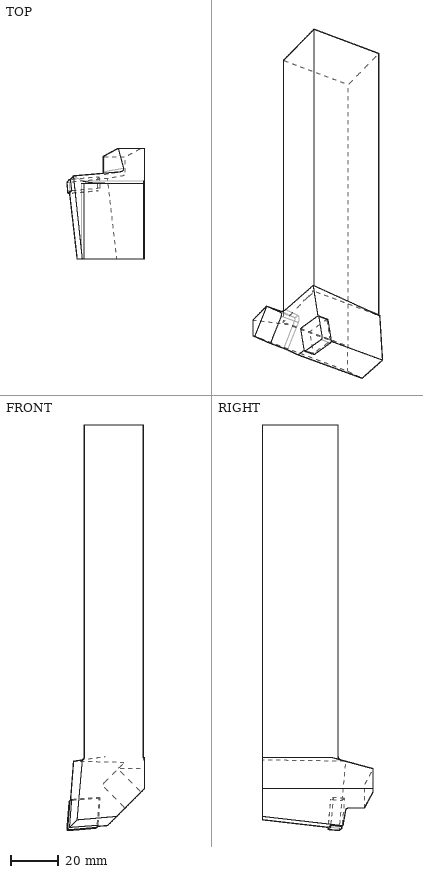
import cadquery as cq
import math

SHANK_X = 25.0
SHANK_Y = 32.0
TOTAL_LENGTH = 171.4
SHANK_START = 24.0

TOTAL_WIDTH = 32.9
HEAD_RIGHT = 25.5
HEAD_DEPTH = 46.8
HEAD_TOP = 30.8
SHOULDER_Z = 30.0
LEFT_FACE_X = -3.5
BOTTOM_FACE_Z = 4.8
EDGE_SLOPE = math.tan(math.radians(5))
CLEARANCE_SLOPE = math.tan(math.radians(6))
BACK_TOP_Z = 30.2
SHOULDER_SLOPE = math.tan(math.radians(8))
BACK_TOP_SLOPE = math.tan(math.radians(15))
BEVEL_OFFSET = 7.7
SHANK_FILLET = 1.4

INSERT_EDGE = 12.9
INSERT_ANGLE = 80
INSERT_THICKNESS = 4.8
INSERT_CORNER = 0.8

RAKE_SLOPE = math.tan(math.radians(5))
RAKE_NORMAL = (-RAKE_SLOPE, 1, -RAKE_SLOPE)
DIAGONAL = (1, 2 * RAKE_SLOPE, 1)
LEFT_LIMIT = HEAD_RIGHT - TOTAL_WIDTH
DIAGONAL_LENGTH = math.sqrt(2 + 4 * RAKE_SLOPE**2)
TIP_CENTER_SHIFT = INSERT_CORNER / math.sin(math.radians(INSERT_ANGLE / 2)) / DIAGONAL_LENGTH
CORNER_EXTENT = INSERT_CORNER * math.sqrt((1 + RAKE_SLOPE**2) / (1 + 2 * RAKE_SLOPE**2))
TIP_INSET = TIP_CENTER_SHIFT - CORNER_EXTENT
TIP_Y = 32.4
TIP = (LEFT_LIMIT - TIP_INSET, TIP_Y, -TIP_INSET)

BLOCK_FRONT = 26.7
BLOCK_UPPER = -11.8
BLOCK_CREST = 40.3
BLOCK_TOP_SLOPE = 0.27
BLOCK_EDGE_FILLET = 1.4
BLOCK_ROOT_FILLET = 1.4

REACH = 342.7


def trim(body, point, normal):
    """Remove everything on the normal side of a plane."""
    cutter = cq.Workplane(cq.Plane(point, normal=normal)).rect(REACH, REACH).extrude(REACH)
    return body.cut(cutter)


def make_head_blank():
    blank = cq.Workplane().box(2 * HEAD_RIGHT, HEAD_DEPTH, HEAD_TOP, centered=(True, False, False))
    blank = trim(blank, (LEFT_FACE_X, 0, 0), (-1, -CLEARANCE_SLOPE, EDGE_SLOPE))
    blank = trim(blank, (0, 0, BOTTOM_FACE_Z), (EDGE_SLOPE, -CLEARANCE_SLOPE, -1))
    blank = trim(blank, (BEVEL_OFFSET, 0, 0), (1, 0, -1))
    blank = trim(blank, (0, 0, SHOULDER_Z), (-SHOULDER_SLOPE, 0, 1))
    return trim(blank, (0, SHANK_Y, BACK_TOP_Z), (0, BACK_TOP_SLOPE, 1))


def make_block(blank):
    block = trim(blank, (BLOCK_FRONT, 0, 0), (-1, 0, -1))
    block = trim(block, (BLOCK_UPPER, 0, 0), (-1, 0, 1))
    corner_x = (BLOCK_FRONT + BLOCK_UPPER) / 2
    corner_z = (BLOCK_FRONT - BLOCK_UPPER) / 2
    block = block.edges(cq.selectors.NearestToPointSelector((corner_x, HEAD_DEPTH / 2, corner_z)))
    block = block.fillet(BLOCK_EDGE_FILLET)
    return trim(block, (BLOCK_CREST, HEAD_DEPTH, 0), (-BLOCK_TOP_SLOPE, 1, -BLOCK_TOP_SLOPE))


def make_head():
    """Head below the rake plane, with the raised block blended into it."""
    blank = make_head_blank()
    head = trim(blank, TIP, RAKE_NORMAL).union(make_block(blank))
    middle_x = (BLOCK_FRONT + (BEVEL_OFFSET + BLOCK_UPPER) / 2) / 2
    middle_z = BLOCK_FRONT - middle_x
    root_y = TIP[1] + RAKE_SLOPE * (BLOCK_FRONT - TIP[0] - TIP[2])
    root_edge = cq.selectors.NearestToPointSelector((middle_x, root_y, middle_z))
    return head.edges(root_edge).fillet(BLOCK_ROOT_FILLET)


def make_holder(insert):
    head = make_head()
    shank = cq.Workplane().box(SHANK_X, SHANK_Y, TOTAL_LENGTH - SHANK_START, centered=False)
    shank = shank.translate((0, 0, SHANK_START))
    holder = head.union(shank)
    left_root = cq.selectors.NearestToPointSelector((0, SHANK_Y / 2, SHOULDER_Z))
    back_root = cq.selectors.NearestToPointSelector((SHANK_X / 2, SHANK_Y, BACK_TOP_Z))
    return holder.edges(left_root + back_root).fillet(SHANK_FILLET).cut(insert)


def make_insert():
    half = math.radians(INSERT_ANGLE / 2)
    along = INSERT_EDGE * math.cos(half)
    across = INSERT_EDGE * math.sin(half)
    plane = cq.Plane(TIP, DIAGONAL, RAKE_NORMAL)
    return (
        cq.Workplane(plane)
        .polyline([(0, 0), (along, across), (2 * along, 0), (along, -across)])
        .close()
        .extrude(-INSERT_THICKNESS)
        .edges(cq.selectors.ParallelDirSelector(cq.Vector(*RAKE_NORMAL)))
        .fillet(INSERT_CORNER)
    )


insert = make_insert()
holder = make_holder(insert)
result = cq.Compound.makeCompound([holder.val(), insert.val()])